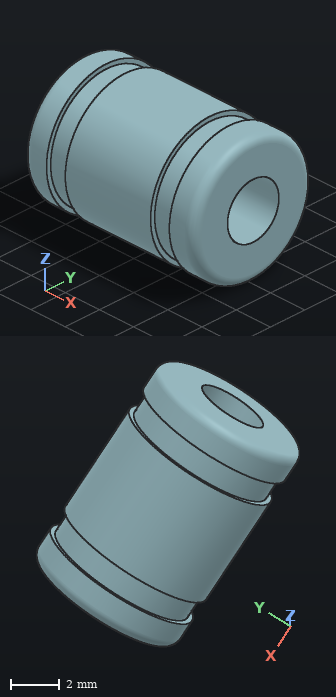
import cadquery as cq

length = 10.0
outer_diameter = 7.0
bore_diameter = 3.0
end_fillet = 0.5

groove_diameter = 6.52
groove_width = 1.1
middle_land_length = 5.0
groove_center_offset = (middle_land_length + groove_width) / 2


def cylinder_along_x(diameter, width, center_x=0.0):
    """Solid cylinder on the X axis, centred at center_x."""
    start = cq.Workplane("YZ").workplane(offset=center_x - width / 2)
    return start.circle(diameter / 2).extrude(width)


def groove_ring(center_x):
    """Ring of material removed to form one groove."""
    ring = cylinder_along_x(outer_diameter, groove_width, center_x)
    return ring.cut(cylinder_along_x(groove_diameter, groove_width, center_x))


sleeve = cylinder_along_x(outer_diameter, length).faces("<X or >X").edges().fillet(end_fillet)

sleeve = sleeve.cut(cylinder_along_x(bore_diameter, length))

for side in (-1, 1):
    sleeve = sleeve.cut(groove_ring(side * groove_center_offset))

result = sleeve